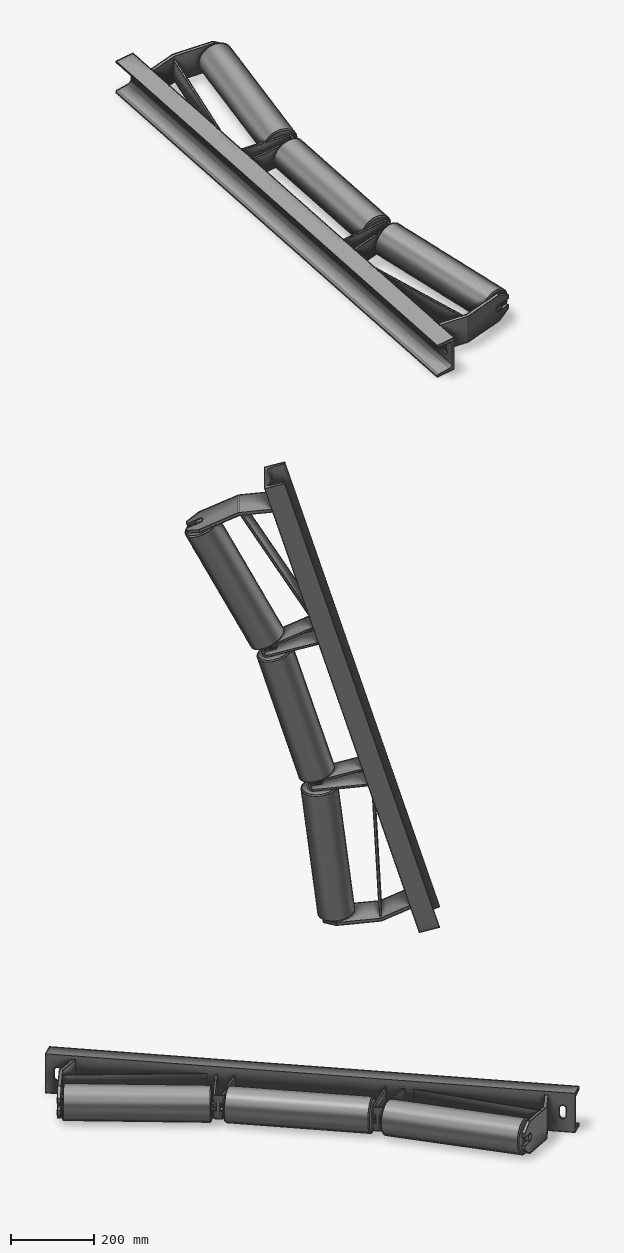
import cadquery as cq
import math


beam_length = 1300.0
beam_height = 100.0
flange_width = 50.0
web_thickness = 6.0
flange_thickness = 8.5
flange_taper = 0.08
root_radius = 8.5
toe_radius = 4.5
mount_slot_spacing = 1240.0
mount_slot_length = 35.0
mount_slot_width = 17.0

roller_diameter = 89.0
roller_length = 358.0
roller_chamfer = 3.0
shaft_diameter = 20.0
shaft_flat_width = 14.0
trough_angle = 10.0
middle_roller_y = 115.7
side_roller_x = 391.8
frame_top_y = 226.71

outer_plate_thickness = 8.0
outer_plate_width = 82.0
inner_plate_thickness = 5.0
inner_plate_width = 60.0
end_gap = 4.0
shaft_slot_width = shaft_diameter
outer_bend_y = 80.6
outer_bend_radius = 6.0
outer_plate_reach = 33.0
corner_cut_height = 32.0
corner_cut_width = 20.0
inner_bracket_top_y = 141.0
inner_bend_radius = 4.0

brace_thickness = 5.0
brace_width = 60.0
brace_foot_x = 264.0

trough = math.radians(trough_angle)
roller_radius = roller_diameter / 2
plate_offset = roller_length / 2 + end_gap
shaft_length = 2 * (plate_offset + outer_plate_thickness)
side_roller_y = (
    frame_top_y
    - (roller_length / 2 - roller_chamfer) * math.sin(trough)
    - roller_radius * math.cos(trough)
)

outer_run = outer_plate_thickness / math.cos(trough)
inner_run = inner_plate_thickness / math.cos(trough)


def side_point(along, above):
    """Point on the right side roller: distance outward along its axis and above the axis."""
    return (
        side_roller_x + along * math.cos(trough) - above * math.sin(trough),
        side_roller_y + along * math.sin(trough) + above * math.cos(trough),
    )


def side_face_x(along, y):
    """X at height y on the plane square to the right side roller's axis."""
    x0, y0 = side_point(along, 0)
    return x0 - (y - y0) * math.tan(trough)


def prism(points, width):
    """Outline in XY extruded symmetrically about Z = 0."""
    return cq.Workplane("XY").polyline(points).close().extrude(width / 2, both=True)


def cylinder(diameter, length):
    """Cylinder along X, centred on the origin."""
    return cq.Workplane("YZ", origin=(-length / 2, 0, 0)).circle(diameter / 2).extrude(length)


def on_side_roller(body):
    """Move a body from the origin onto the right side roller's axis."""
    return body.rotate((0, 0, 0), (0, 0, 1), trough_angle).translate((side_roller_x, side_roller_y, 0))


def mirrored(body):
    return body.mirror("YZ")


def make_beam():
    half = beam_height / 2
    root_z = half - flange_thickness - flange_taper * (flange_width / 2 - web_thickness)
    toe_z = half - flange_thickness + flange_taper * flange_width / 2
    profile = [
        (0, half),
        (-flange_width, half),
        (-flange_width, toe_z),
        (-web_thickness, root_z),
        (-web_thickness, -root_z),
        (-flange_width, -toe_z),
        (-flange_width, -half),
        (0, -half),
    ]
    beam = cq.Workplane("YZ").polyline(profile).close().extrude(beam_length / 2, both=True)
    for side in (1, -1):
        root_edge = beam.edges(cq.NearestToPointSelector((0, -web_thickness, side * root_z)))
        beam = root_edge.fillet(root_radius)
        toe_edge = beam.edges(cq.NearestToPointSelector((0, -flange_width, side * toe_z)))
        beam = toe_edge.fillet(toe_radius)
    slots = (
        cq.Workplane("XZ")
        .pushPoints([(-mount_slot_spacing / 2, 0), (mount_slot_spacing / 2, 0)])
        .slot2D(mount_slot_length, mount_slot_width, 90)
        .extrude(web_thickness)
    )
    return beam.cut(slots)


def make_roller():
    """Roller along X at the origin, with flats on both sides of its shaft."""
    barrel = cylinder(roller_diameter, roller_length)
    barrel = barrel.faces("<X or >X").chamfer(roller_chamfer)
    shaft = cylinder(shaft_diameter, shaft_length)
    flats = cq.Workplane("XY").box(shaft_length, shaft_diameter, shaft_flat_width)
    return barrel.union(shaft.intersect(flats))


def make_shaft_slot(length):
    """Cutter along X for a round-bottomed slot around the shaft, open upwards (+Y)."""
    bottom = cylinder(shaft_slot_width, length)
    opening = cq.Workplane("XY").box(length, roller_diameter, shaft_slot_width)
    return bottom.union(opening.translate((0, roller_diameter / 2, 0)))


def make_outer_bracket():
    """Bent plate at the outer end of the right side roller."""
    bend_x = side_face_x(plate_offset, outer_bend_y)
    foot_x = bend_x - outer_bend_y * math.tan(trough)
    outline = [
        (foot_x, 0),
        (bend_x, outer_bend_y),
        side_point(plate_offset, outer_plate_reach),
        side_point(plate_offset + outer_plate_thickness, outer_plate_reach),
        (bend_x + outer_run, outer_bend_y),
        (foot_x + outer_run, 0),
    ]
    plate = prism(outline, outer_plate_width)
    inside_edge = plate.edges(cq.NearestToPointSelector((bend_x, outer_bend_y, 0)))
    plate = inside_edge.fillet(outer_bend_radius)
    outside_edge = plate.edges("|Z and >X")
    plate = outside_edge.fillet(outer_bend_radius + outer_plate_thickness)
    half = outer_plate_width / 2
    for side in (1, -1):
        corner = (
            cq.Workplane("YZ")
            .polyline([
                (outer_plate_reach, side * half),
                (outer_plate_reach - corner_cut_height, side * half),
                (outer_plate_reach, side * (half - corner_cut_width)),
            ])
            .close()
            .extrude(shaft_length)
        )
        plate = plate.cut(on_side_roller(corner))
    return plate.cut(on_side_roller(make_shaft_slot(shaft_length)))


def make_inner_bracket():
    """Folded plate between the middle roller and the right side roller."""
    top = inner_bracket_top_y
    under = top - inner_plate_thickness
    outline = [
        (plate_offset, 0),
        (plate_offset, top),
        (side_face_x(-plate_offset, top), top),
        (side_face_x(-plate_offset, 0), 0),
    ]
    inside = [
        (plate_offset + inner_plate_thickness, 0),
        (plate_offset + inner_plate_thickness, under),
        (side_face_x(-plate_offset, under) - inner_run, under),
        (side_face_x(-plate_offset, 0) - inner_run, 0),
    ]
    outside_radius = inner_bend_radius + inner_plate_thickness
    block = prism(outline, inner_plate_width).edges("|Z and >Y").fillet(outside_radius)
    hollow = prism(inside, inner_plate_width).edges("|Z and >Y").fillet(inner_bend_radius)
    bracket = block.cut(hollow)
    bracket = bracket.cut(make_shaft_slot(shaft_length).translate((0, middle_roller_y, 0)))
    return bracket.cut(on_side_roller(make_shaft_slot(shaft_length)))


def make_brace(outer_bracket):
    """Sloping plate from the beam to the bend of the right outer bracket.

    Its head starts out inside the bracket plate and is trimmed to the plate's inner face.
    """
    head_x = side_face_x(plate_offset, outer_bend_y) + outer_run / 2
    slope = math.atan2(outer_bend_y, head_x - brace_foot_x)
    half_rise = brace_thickness / 2 / math.cos(slope)
    half_foot = brace_thickness / 2 / math.sin(slope)
    outline = [
        (brace_foot_x - half_foot, 0),
        (brace_foot_x + half_foot, 0),
        (head_x, outer_bend_y - half_rise),
        (head_x, outer_bend_y + half_rise),
    ]
    return prism(outline, brace_width).cut(outer_bracket)


beam = make_beam()
middle_roller = make_roller().translate((0, middle_roller_y, 0))
side_roller = on_side_roller(make_roller())
outer_bracket = make_outer_bracket()
inner_bracket = make_inner_bracket()
brace = make_brace(outer_bracket)

bodies = [beam.val(), middle_roller.val()]
for body in (side_roller, outer_bracket, inner_bracket, brace):
    bodies.append(body.val())
    bodies.append(mirrored(body).val())

result = cq.Compound.makeCompound(bodies)